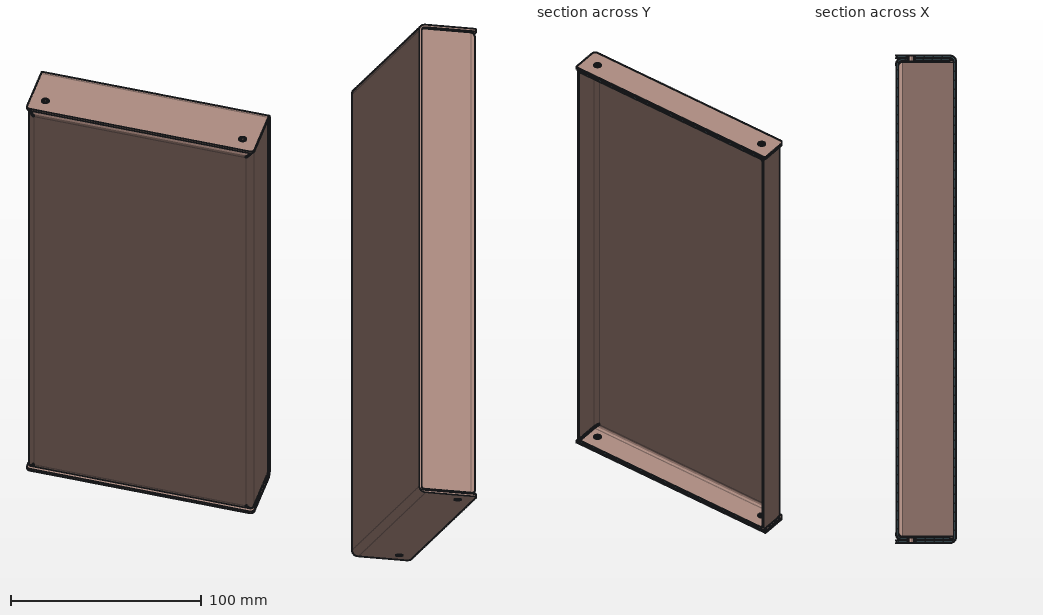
import cadquery as cq
import math

WIDTH = 123.9
DEPTH = 31.7
HEIGHT = 255.5

SHEET = 1.4
BEND_RADIUS = 3.3
TRAY_INSET = 0.8
FLANGE_GAP = 0.13
MITRE_GAP = 0.8
FLANGE_CORNER = 2.0

HOLE_EDGE_DISTANCE = 8.2
INSERT_DIAMETER = 3.8
INSERT_BORE = 2.5

FRONT = -DEPTH / 2
BACK = DEPTH / 2
INNER_RADIUS = BEND_RADIUS - SHEET
TRAY_WIDTH = WIDTH - 2 * TRAY_INSET
TRAY_HEIGHT = HEIGHT - 2 * (SHEET + FLANGE_GAP)
INSERT_LENGTH = 2 * SHEET + FLANGE_GAP
TRAY_BACK = BACK - SHEET
MITRE_ANGLE = 45.0
MITRE_LENGTH = math.sqrt(2) * BEND_RADIUS
HOLE_X = WIDTH / 2 - HOLE_EDGE_DISTANCE
HOLE_Y = FRONT + HOLE_EDGE_DISTANCE


def block(width, height, y_front, y_back):
    """Box centred on X and Z that spans the given range of Y."""
    return cq.Workplane("XY").box(width, y_back - y_front, height).translate((0, (y_front + y_back) / 2, 0))


def hole_columns(diameter):
    """Cylinders along Z through both fastening points, over the full height."""
    return (
        cq.Workplane("XY", origin=(0, HOLE_Y, -HEIGHT / 2))
        .pushPoints([(-HOLE_X, 0), (HOLE_X, 0)])
        .circle(diameter / 2)
        .extrude(HEIGHT)
    )


def make_cover():
    """Back plate with a flange bent forward along its top and bottom edges."""
    outside = block(WIDTH, HEIGHT, FRONT, BACK).edges("|X and >Y").fillet(BEND_RADIUS)
    outside = outside.edges("|Z and <Y").fillet(FLANGE_CORNER)
    inside = block(WIDTH, HEIGHT - 2 * SHEET, FRONT, BACK - SHEET).edges("|X and >Y").fillet(INNER_RADIUS)
    return outside.cut(inside).cut(hole_columns(INSERT_DIAMETER))


def mitre_slits():
    """Diagonal slits, as long as the mitres, that part the tray walls at the four corners."""
    slits = cq.Workplane("XY")
    for x_side in (-1, 1):
        for z_side in (-1, 1):
            slit = cq.Workplane("XY").box(2 * MITRE_LENGTH, DEPTH, MITRE_GAP)
            slit = slit.rotate((0, 0, 0), (0, 1, 0), -MITRE_ANGLE * x_side * z_side)
            slits = slits.add(slit.translate((x_side * TRAY_WIDTH / 2, 0, z_side * TRAY_HEIGHT / 2)))
    return slits.combine()


def make_tray():
    """Front panel with four walls folded back, mitred where the bends meet."""
    outside = block(TRAY_WIDTH, TRAY_HEIGHT, FRONT, TRAY_BACK).faces("<Y").edges().fillet(BEND_RADIUS)
    outside = outside.edges("|X and >Y").fillet(INNER_RADIUS)

    inner_width = TRAY_WIDTH - 2 * SHEET
    inside = block(inner_width, TRAY_HEIGHT - 2 * SHEET, FRONT + SHEET, TRAY_BACK)
    inside = inside.faces("<Y").edges().fillet(INNER_RADIUS)

    rim_clearance = block(inner_width, TRAY_HEIGHT, BACK - BEND_RADIUS, BACK)

    tray = outside.cut(inside).cut(rim_clearance)
    return tray.cut(mitre_slits()).cut(hole_columns(INSERT_DIAMETER))


def make_insert(x, z_bottom):
    """Bushing that fills the holes of one tray wall and the flange over it."""
    return (
        cq.Workplane("XY", origin=(x, HOLE_Y, z_bottom))
        .circle(INSERT_DIAMETER / 2)
        .circle(INSERT_BORE / 2)
        .extrude(INSERT_LENGTH)
    )


cover = make_cover()
tray = make_tray()
inserts = [
    make_insert(x, z_bottom)
    for x in (-HOLE_X, HOLE_X)
    for z_bottom in (-HEIGHT / 2, HEIGHT / 2 - INSERT_LENGTH)
]

result = cq.Compound.makeCompound([cover.val(), tray.val(), *[insert.val() for insert in inserts]])